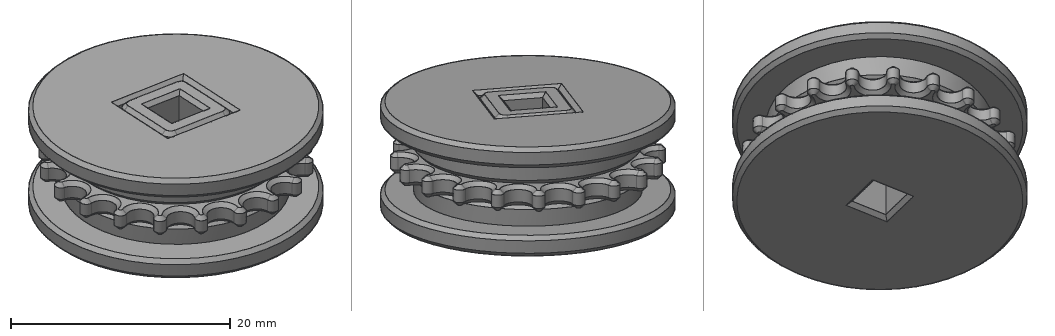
import cadquery as cq
import math

edge_chamfer = 0.4
flange_diameter = 26.87
flange_thickness = 2.0
hub_diameter = flange_diameter - 6.0
lower_hub_height = 2.0
upper_hub_height = 2.5
sprocket_thickness = 2.0

post_width = 7.55
post_corner_radius = 1.0
bore_width = 3.65

tooth_count = 20
tooth_pitch = 3.75
tooth_pitch_radius = tooth_pitch / (2 * math.sin(math.pi / tooth_count))
tooth_tip_radius = 0.59

lower_hub_top = flange_thickness + lower_hub_height
sprocket_top = lower_hub_top + sprocket_thickness
upper_flange_bottom = sprocket_top + upper_hub_height
total_height = upper_flange_bottom + flange_thickness


def polar_point(radius, angle_degrees):
    angle = math.radians(angle_degrees)
    return (radius * math.cos(angle), radius * math.sin(angle))


def point_between(start, end, fraction):
    return tuple(a + fraction * (b - a) for a, b in zip(start, end))


def make_flange(bottom):
    """Disc with both rims chamfered."""
    return (
        cq.Workplane("XY", origin=(0, 0, bottom))
        .circle(flange_diameter / 2)
        .extrude(flange_thickness)
        .faces("<Z or >Z")
        .chamfer(edge_chamfer)
    )


def make_hub(bottom, height, chamfered_face):
    """Cylinder chamfered at the end that meets the sprocket."""
    return (
        cq.Workplane("XY", origin=(0, 0, bottom))
        .circle(hub_diameter / 2)
        .extrude(height)
        .faces(chamfered_face)
        .chamfer(edge_chamfer)
    )


def make_square_prism(width, bottom, top):
    return (
        cq.Workplane("XY", origin=(0, 0, bottom))
        .rect(width, width)
        .extrude(top - bottom)
    )


def make_square_countersink(width, mouth_height, direction):
    """Pyramid frustum that chamfers a square hole; direction points into the hole."""
    mouth_width = width + 2 * edge_chamfer
    return (
        cq.Workplane("XY", origin=(0, 0, mouth_height))
        .rect(mouth_width, mouth_width)
        .workplane(offset=direction * edge_chamfer)
        .rect(width, width)
        .loft(ruled=True)
    )


def make_base():
    """Lower flange and hub with the bored square post that carries the other bodies."""
    post = (
        make_square_prism(post_width, lower_hub_top, total_height)
        .edges("|Z")
        .fillet(post_corner_radius)
        .faces(">Z")
        .chamfer(edge_chamfer)
    )
    return (
        make_flange(0)
        .union(make_hub(flange_thickness, lower_hub_height, ">Z"))
        .union(post)
        .cut(make_square_prism(bore_width, 0, total_height))
        .cut(make_square_countersink(bore_width, total_height, -1))
        .cut(make_square_countersink(bore_width, 0, 1))
    )


def make_sprocket():
    """Toothed ring of alternating tangent tip and valley arcs, with a square hole."""
    tooth_angle = 360 / tooth_count
    half_angle = tooth_angle / 2
    center_spacing = 2 * tooth_pitch_radius * math.sin(math.radians(half_angle / 2))
    valley_radius = center_spacing - tooth_tip_radius
    tangent_fraction = tooth_tip_radius / center_spacing
    first_tooth_angle = 45

    def tangent_point(tooth_center_angle, side):
        tooth_center = polar_point(tooth_pitch_radius, tooth_center_angle)
        valley_center = polar_point(tooth_pitch_radius, tooth_center_angle + side * half_angle)
        return point_between(tooth_center, valley_center, tangent_fraction)

    outline = cq.Workplane("XY", origin=(0, 0, lower_hub_top))
    outline = outline.moveTo(*tangent_point(first_tooth_angle, -1))
    for index in range(tooth_count):
        angle = first_tooth_angle + index * tooth_angle
        tip = polar_point(tooth_pitch_radius + tooth_tip_radius, angle)
        valley = polar_point(tooth_pitch_radius - valley_radius, angle + half_angle)
        outline = outline.threePointArc(tip, tangent_point(angle, 1))
        outline = outline.threePointArc(valley, tangent_point(angle + tooth_angle, -1))
    return (
        outline.close()
        .extrude(sprocket_thickness)
        .faces("<Z or >Z")
        .chamfer(edge_chamfer)
        .cut(make_square_prism(post_width, lower_hub_top, sprocket_top))
    )


def make_cap():
    """Upper flange and hub with a square hole countersunk at the top."""
    return (
        make_flange(upper_flange_bottom)
        .union(make_hub(sprocket_top, upper_hub_height, "<Z"))
        .cut(make_square_prism(post_width, sprocket_top, total_height))
        .cut(make_square_countersink(post_width, total_height, -1))
    )


base = make_base()
sprocket = make_sprocket()
cap = make_cap()

result = cq.Compound.makeCompound([base.val(), sprocket.val(), cap.val()])